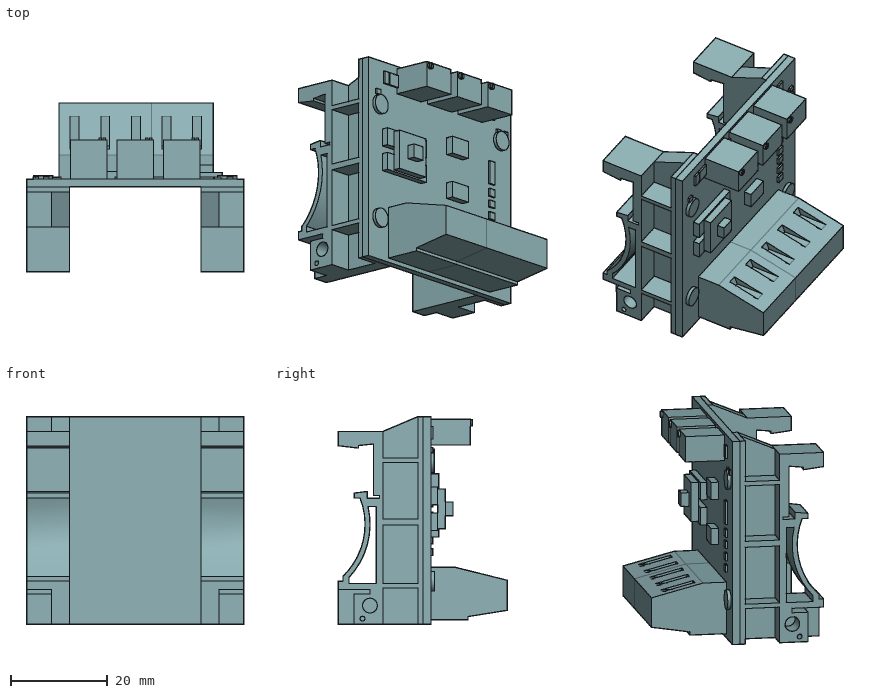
import cadquery as cq
import math


width = 45.0
height = 43.0
depth = 35.0
connector_tip_y = 17.4
front_y = connector_tip_y - depth

bracket_width = 8.9
web_thickness = 3.8
pocket_depth = bracket_width - web_thickness
plate_front_y = -1.1
flange_back_y = -8.32
arm_top_z = 39.95

column_front_y = -10.3
arm_root_z = 37.3
catch_y = -13.35
catch_root_z = 37.0
catch_tip_z = 36.45
arm_end_z = 36.95

slit_end_y = -9.05
slit_top_z = 26.65
slit_bottom_z = 26.1

hook_back_y = -11.55
hook_top_z = 27.55
hook_front_y = -14.3
hook_front_top_z = 27.2
clip_radius = 15.0
clip_thickness = 1.1
clip_axis_y = -27.05
clip_axis_z = 20.7
clip_foot_y = -16.65
foot_top_z = 8.95

window_back_y = -9.75
window_front_y = -15.35
window_bottom_z = 8.45
window_top_z = 24.35

rib_spans = [(7.55, 8.45), (20.5, 21.8), (33.52, 34.42)]

foot_block_front_y = -14.3
groove_back_y = -11.0
groove_bottom_z = 6.25
groove_top_z = 7.2
large_hole_y = -11.02
large_hole_z = 3.85
large_hole_radius = 1.55
small_hole_y = -12.55
small_hole_z = 1.15
small_hole_radius = 0.5

board_thickness = 1.6

terminal_slot_pitch = 6.35
terminal_seam_x = 3.35
terminal_ways_left = 3
terminal_ways_right = 2
terminal_left_x = -15.8
terminal_right_x = 16.15
first_slot_x = -12.55
terminal_slot_width = 1.85
terminal_bottom_z = 0.9
terminal_top_z = 11.85
terminal_shoulder_y = 6.55
terminal_tip_top_z = 9.15
terminal_tip_bottom_z = 2.9
terminal_step_y = 9.3
terminal_step_z = 1.58
slot_tip_y = 14.6
slot_floor_back_y = 8.45
slot_top_back_y = 7.85

trimmer_count = 3
trimmer_pitch = 9.65
trimmer_width = 7.6
trimmer_back_y = 9.75
trimmer_bottom_z = 37.1
trimmer_top_z = 42.5
trimmer_screw_radius = 0.68
trimmer_screw_height = 0.4
trimmer_screw_offset_x = 2.8
trimmer_screw_z = 41.7
trimmer_slot_width = 0.25

button_x = 11.92
button_z = 23.9
button_body_size = 8.3
button_body_front_y = 3.0
button_body_back_y = 4.6
button_cap_size = 2.9
button_cap_back_y = 6.2
button_lead_span = 12.25
button_lead_height = 9.0
button_gap = 1.65

chip_left_x = -7.2
chip_right_x = -2.25
chip_back_y = 3.25
chip_spans = [(27.55, 31.2), (18.05, 21.4)]

pad_radius = 2.02
pad_height = 0.7
pad_x = 19.1
pad_centres = [(-pad_x, 34.3), (pad_x, 33.45), (-pad_x, 8.85), (pad_x, 8.85)]

small_part_height = 0.4
small_parts = [
    (-17.1, -15.4, 38.35, 40.95),
    (-17.1, -15.4, 25.88, 29.2),
    (-17.1, -15.4, 24.3, 25.88),
    (-17.1, -15.4, 21.6, 23.2),
    (-17.1, -15.4, 19.25, 20.7),
    (-17.1, -15.4, 16.65, 18.2),
    (-17.1, -15.4, 14.2, 15.65),
    (-21.15, -20.0, 35.55, 36.65),
    (-19.0, -17.8, 35.55, 36.65),
    (-4.25, -3.15, 38.35, 40.95),
    (3.6, 6.3, 38.35, 40.95),
    (13.05, 16.15, 38.35, 40.95),
    (16.42, 17.78, 38.35, 40.95),
    (19.0, 20.25, 35.55, 36.65),
]


def box(x_span, y_span, z_span):
    """Box between pairs of opposite limits, in any order."""
    spans = [sorted(span) for span in (x_span, y_span, z_span)]
    sizes = [high - low for low, high in spans]
    corner = [low for low, high in spans]
    return cq.Workplane("XY").box(*sizes, centered=False).translate(tuple(corner))


def x_extrusion(outline, x_start, x_end):
    """Extrude a closed Workplane outline, drawn as (y, z), between two X positions."""
    return outline.extrude(x_end - x_start).translate((x_start, 0, 0))


def y_cylinder(x, z, radius, y_start, y_end):
    """Cylinder along +Y."""
    direction = cq.Vector(0, 1, 0)
    cylinder = cq.Solid.makeCylinder(radius, y_end - y_start, cq.Vector(x, y_start, z), direction)
    return cq.Workplane("XY").add(cylinder)


def arc_y(radius, z):
    """Y of the clip arc of the given radius at height z."""
    return clip_axis_y + math.sqrt(radius ** 2 - (z - clip_axis_z) ** 2)


def arc_foot_z(radius, y):
    """Height at which the lower part of the clip arc reaches y."""
    return clip_axis_z - math.sqrt(radius ** 2 - (y - clip_axis_y) ** 2)


def bracket_outline():
    """Side outline of the bracket, including slit, hook and clip."""
    return (
        cq.Workplane("YZ")
        .moveTo(0, 0)
        .lineTo(0, height)
        .lineTo(plate_front_y, height)
        .lineTo(flange_back_y, arm_top_z)
        .lineTo(front_y, arm_top_z)
        .lineTo(front_y, arm_end_z)
        .lineTo(catch_y, catch_tip_z)
        .lineTo(catch_y, catch_root_z)
        .lineTo(column_front_y, arm_root_z)
        .lineTo(column_front_y, slit_top_z)
        .lineTo(slit_end_y, slit_top_z)
        .lineTo(slit_end_y, slit_bottom_z)
        .lineTo(hook_back_y, slit_bottom_z)
        .lineTo(hook_back_y, hook_top_z)
        .lineTo(hook_front_y, hook_front_top_z)
        .lineTo(hook_front_y, slit_bottom_z)
        .lineTo(arc_y(clip_radius, slit_bottom_z), slit_bottom_z)
        .threePointArc(
            (clip_axis_y + clip_radius, clip_axis_z),
            (clip_foot_y, arc_foot_z(clip_radius, clip_foot_y)),
        )
        .lineTo(clip_foot_y, foot_top_z)
        .lineTo(front_y, foot_top_z)
        .lineTo(front_y, 0)
        .close()
    )


def window_outline():
    """Opening between the column and the curved clip strip."""
    radius = clip_radius + clip_thickness
    return (
        cq.Workplane("YZ")
        .moveTo(window_back_y, window_bottom_z)
        .lineTo(window_back_y, window_top_z)
        .lineTo(arc_y(radius, window_top_z), window_top_z)
        .threePointArc(
            (clip_axis_y + radius, clip_axis_z),
            (window_front_y, arc_foot_z(radius, window_front_y)),
        )
        .lineTo(window_front_y, window_bottom_z)
        .close()
    )


def foot_hole(y, z, radius):
    """Blind hole along +X from the outer side, as deep as the side pockets."""
    start = cq.Vector(-width / 2, y, z)
    return cq.Workplane("XY").add(cq.Solid.makeCylinder(radius, pocket_depth, start, cq.Vector(1, 0, 0)))


def make_bracket():
    """Bracket on the -X side."""
    outer_x = -width / 2
    inner_x = outer_x + bracket_width
    pocket_x = (outer_x, outer_x + pocket_depth)
    pocket_y = (plate_front_y, flange_back_y)

    bracket = x_extrusion(bracket_outline(), outer_x, inner_x)
    bracket = bracket.cut(x_extrusion(window_outline(), outer_x, inner_x))

    bracket = bracket.cut(box(pocket_x, pocket_y, (0, height)))
    for rib_span in rib_spans:
        bracket = bracket.union(box(pocket_x, pocket_y, rib_span))

    bracket = bracket.cut(box(pocket_x, (front_y, foot_block_front_y), (0, groove_top_z)))
    bracket = bracket.cut(box(pocket_x, (front_y, groove_back_y), (groove_bottom_z, groove_top_z)))
    bracket = bracket.cut(foot_hole(large_hole_y, large_hole_z, large_hole_radius))
    return bracket.cut(foot_hole(small_hole_y, small_hole_z, small_hole_radius))


def terminal_outline():
    """Side outline of a terminal block."""
    return cq.Workplane("YZ").polyline([
        (board_thickness, terminal_bottom_z),
        (board_thickness, terminal_top_z),
        (terminal_shoulder_y, terminal_top_z),
        (connector_tip_y, terminal_tip_top_z),
        (connector_tip_y, terminal_tip_bottom_z),
        (terminal_step_y, terminal_step_z),
        (terminal_step_y, terminal_bottom_z),
    ]).close()


def terminal_slope_z(y):
    """Height of the sloped top face of a terminal block."""
    fraction = (y - terminal_shoulder_y) / (connector_tip_y - terminal_shoulder_y)
    return terminal_top_z + fraction * (terminal_tip_top_z - terminal_top_z)


def terminal_slot_outline():
    """Level-floored notch in the sloped top face."""
    floor_z = terminal_slope_z(slot_tip_y)
    return cq.Workplane("YZ").polyline([
        (slot_tip_y, floor_z),
        (slot_floor_back_y, floor_z),
        (slot_top_back_y, terminal_slope_z(slot_top_back_y)),
        (slot_tip_y, terminal_top_z),
    ]).close()


def make_terminal(x_start, x_end, slot_x, ways):
    """Terminal block with one slot per way; slot_x is the centre of its first slot."""
    terminal = x_extrusion(terminal_outline(), x_start, x_end)
    for way in range(ways):
        slot_start = slot_x + way * terminal_slot_pitch - terminal_slot_width / 2
        slot = x_extrusion(terminal_slot_outline(), slot_start, slot_start + terminal_slot_width)
        terminal = terminal.cut(slot)
    return terminal


def make_trimmer(x):
    """Trimmer centred on x, with a slotted screw on its back face."""
    screw_x = x + trimmer_screw_offset_x
    screw_back_y = trimmer_back_y + trimmer_screw_height
    half_width = trimmer_width / 2
    half_slot = trimmer_slot_width / 2
    body = box(
        (x - half_width, x + half_width),
        (board_thickness, trimmer_back_y),
        (trimmer_bottom_z, trimmer_top_z),
    )
    screw = y_cylinder(screw_x, trimmer_screw_z, trimmer_screw_radius, trimmer_back_y, screw_back_y)
    slot = box(
        (screw_x - half_slot, screw_x + half_slot),
        (trimmer_back_y, screw_back_y),
        (trimmer_screw_z - trimmer_screw_radius, trimmer_screw_z + trimmer_screw_radius),
    )
    return body.union(screw.cut(slot))


def button_block(x_size, z_size, y_start, y_end):
    """Block centred on the push button."""
    return box(
        (button_x - x_size / 2, button_x + x_size / 2),
        (y_start, y_end),
        (button_z - z_size / 2, button_z + z_size / 2),
    )


def make_button():
    """Push button: cap, body and two leads with an open gap between them."""
    body = button_block(button_body_size, button_body_size, button_body_front_y, button_body_back_y)
    cap = button_block(button_cap_size, button_cap_size, button_body_back_y, button_cap_back_y)
    leads = button_block(button_lead_span, button_lead_height, board_thickness, button_body_front_y)
    gap = button_block(button_lead_span, button_gap, board_thickness, button_body_front_y)
    return body.union(cap).union(leads.cut(gap))


def make_board():
    """Circuit board with everything mounted on its back face."""
    board = box((-width / 2, width / 2), (0, board_thickness), (0, height))

    for index in range(trimmer_count):
        board = board.union(make_trimmer((index - (trimmer_count - 1) / 2) * trimmer_pitch))
    board = board.union(make_button())
    for chip_span in chip_spans:
        board = board.union(box((chip_left_x, chip_right_x), (board_thickness, chip_back_y), chip_span))
    for x, z in pad_centres:
        board = board.union(y_cylinder(x, z, pad_radius, board_thickness, board_thickness + pad_height))
    small_part_y = (board_thickness, board_thickness + small_part_height)
    for x_start, x_end, z_start, z_end in small_parts:
        board = board.union(box((x_start, x_end), small_part_y, (z_start, z_end)))

    right_slot_x = first_slot_x + terminal_ways_left * terminal_slot_pitch
    left_terminal = make_terminal(terminal_left_x, terminal_seam_x, first_slot_x, terminal_ways_left)
    right_terminal = make_terminal(terminal_seam_x, terminal_right_x, right_slot_x, terminal_ways_right)
    return board.union(left_terminal, clean=False).union(right_terminal, clean=False)


left_bracket = make_bracket().solids()
right_bracket = left_bracket.mirror("YZ")
board = make_board().solids()

result = cq.Compound.makeCompound([left_bracket.val(), right_bracket.val(), board.val()])